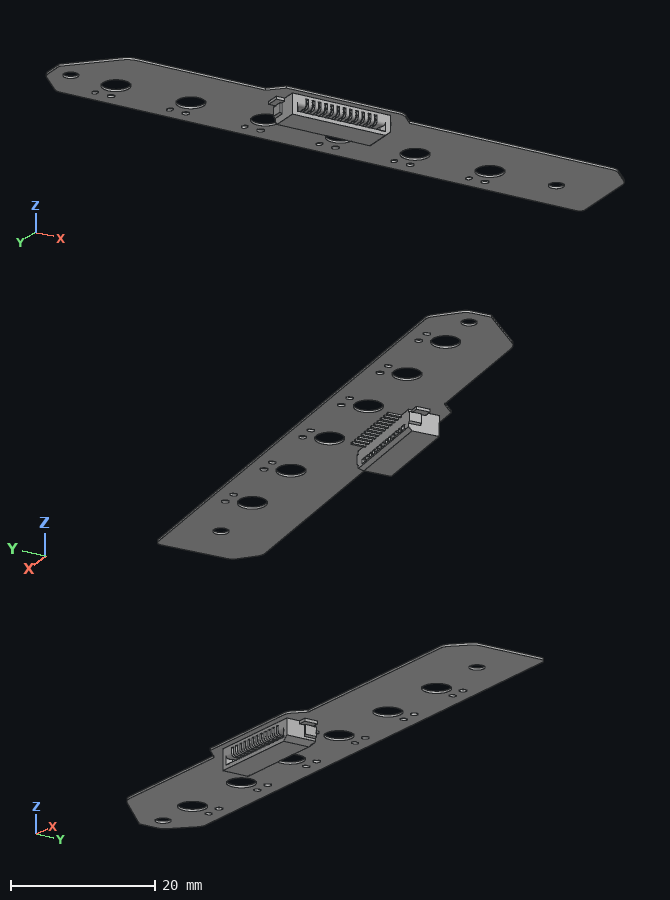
import cadquery as cq


BOARD_LENGTH = 88.6
BOARD_WIDTH = 17.2
BOARD_THICKNESS = 0.35
OVERALL_HEIGHT = 3.5
TAB_DEPTH = 2.1
TAB_LEFT = 29.0
TAB_RIGHT = 52.1
UPPER_LEFT_CUT = 4.1
LOWER_LEFT_CUT = 7.2
LOWER_RIGHT_CUT = 3.2
TOP_RIGHT_RADIUS = 0.9
CORNER_RADIUS = 1.8
LOWER_LEFT_RADIUS = 2.7

HOLE_COUNT = 6
FIRST_HOLE_X = 10.3
LAST_HOLE_X = 70.35
HOLE_PITCH = (LAST_HOLE_X - FIRST_HOLE_X) / (HOLE_COUNT - 1)
HOLE_ROW_Y = BOARD_WIDTH - 5.9
WINDOW_HOLE_DIAMETER = 4.2
LEAD_ROW_Y = BOARD_WIDTH - 2.4
LEAD_SPACING = 2.6
LEAD_HOLE_DIAMETER = 1.1
LEAD_SLOT_WIDTH = 0.8
LEAD_SLOT_LENGTH = LEAD_HOLE_DIAMETER
MOUNTING_HOLE_DIAMETER = 2.2
LEFT_MOUNTING_HOLE = (3.0, HOLE_ROW_Y)
RIGHT_MOUNTING_HOLE = (80.8, BOARD_WIDTH - 6.3)

CONNECTOR_X = (TAB_LEFT + TAB_RIGHT) / 2
HOUSING_WIDTH = 15.8
HOUSING_HEIGHT = OVERALL_HEIGHT - BOARD_THICKNESS
HOUSING_FRONT_Y = 1.1
HOUSING_DEPTH = 4.8
HOUSING_BACK_Y = HOUSING_FRONT_Y + HOUSING_DEPTH
KEY_CUT_WIDTH = 0.8
KEY_CUT_HEIGHT = 0.7
BACK_CHAMFER = 0.5

PASSAGE_WIDTH = 13.1
PASSAGE_TOP_Z = -1.8
PASSAGE_BOTTOM_Z = -2.4
MOUTH_WIDTH = 14.2
MOUTH_BOTTOM_Z = -2.6
MOUTH_DEPTH = 0.7
MOUTH_TOP_RADIUS = 0.5

EAR_PROJECTION = 0.3
EAR_DEPTH = 1.9
EAR_BOTTOM_Z = -1.9
EAR_BEVEL = 0.3
SOLDER_TAB_SPAN = 18.4
SOLDER_TAB_FRONT_Y = 3.2
SOLDER_TAB_LENGTH = 2.1
SOLDER_TAB_THICKNESS = 0.4

CONTACT_COUNT = 12
CONTACT_ROW_LENGTH = 11.0
CONTACT_PITCH = CONTACT_ROW_LENGTH / (CONTACT_COUNT - 1)
CONTACT_WIDTH = 0.4
CONTACT_SLOT_TOP_Z = -0.4
CONTACT_NOSE_Z = -1.1
CONTACT_NOSE_INSET = 0.3
CONTACT_TOP_INSET = 0.6
CONTACT_FOOT_INSET = 2.1
TAIL_LENGTH = 2.1
TAIL_THICKNESS = 0.3


def board_outline():
    """Board blank with cut corners and a shallow tab along its front edge."""
    return (
        cq.Workplane("XY")
        .moveTo(0, TAB_DEPTH + LOWER_LEFT_CUT)
        .lineTo(LOWER_LEFT_CUT, TAB_DEPTH)
        .lineTo(TAB_LEFT, TAB_DEPTH)
        .lineTo(TAB_LEFT + TAB_DEPTH, 0)
        .lineTo(TAB_RIGHT - TAB_DEPTH, 0)
        .lineTo(TAB_RIGHT, TAB_DEPTH)
        .lineTo(BOARD_LENGTH - LOWER_RIGHT_CUT, TAB_DEPTH)
        .lineTo(BOARD_LENGTH, TAB_DEPTH + LOWER_RIGHT_CUT)
        .lineTo(BOARD_LENGTH, BOARD_WIDTH)
        .lineTo(UPPER_LEFT_CUT, BOARD_WIDTH)
        .lineTo(0, BOARD_WIDTH - UPPER_LEFT_CUT)
        .close()
        .extrude(BOARD_THICKNESS)
    )


def round_corner(board, x, y, radius):
    """Round the upright board edge that stands at (x, y)."""
    corner = cq.selectors.NearestToPointSelector((x, y, BOARD_THICKNESS / 2))
    return board.edges("|Z").edges(corner).fillet(radius)


def make_board():
    board = board_outline()
    rounded_corners = [
        (TAB_RIGHT - TAB_DEPTH, 0),
        (BOARD_LENGTH - LOWER_RIGHT_CUT, TAB_DEPTH),
        (BOARD_LENGTH, TAB_DEPTH + LOWER_RIGHT_CUT),
        (UPPER_LEFT_CUT, BOARD_WIDTH),
        (0, BOARD_WIDTH - UPPER_LEFT_CUT),
    ]
    for x, y in rounded_corners:
        board = round_corner(board, x, y, CORNER_RADIUS)
    board = round_corner(board, LOWER_LEFT_CUT, TAB_DEPTH, LOWER_LEFT_RADIUS)
    board = round_corner(board, BOARD_LENGTH, BOARD_WIDTH, TOP_RIGHT_RADIUS)

    hole_xs = [FIRST_HOLE_X + i * HOLE_PITCH for i in range(HOLE_COUNT)]
    top = cq.Workplane("XY")
    window_holes = (
        top.pushPoints([(x, HOLE_ROW_Y) for x in hole_xs])
        .circle(WINDOW_HOLE_DIAMETER / 2)
        .extrude(BOARD_THICKNESS)
    )
    lead_holes = (
        top.pushPoints([(x + LEAD_SPACING / 2, LEAD_ROW_Y) for x in hole_xs])
        .circle(LEAD_HOLE_DIAMETER / 2)
        .extrude(BOARD_THICKNESS)
    )
    lead_slots = (
        top.pushPoints([(x - LEAD_SPACING / 2, LEAD_ROW_Y) for x in hole_xs])
        .slot2D(LEAD_SLOT_LENGTH, LEAD_SLOT_WIDTH, 90)
        .extrude(BOARD_THICKNESS)
    )
    mounting_holes = (
        top.pushPoints([LEFT_MOUNTING_HOLE, RIGHT_MOUNTING_HOLE])
        .circle(MOUNTING_HOLE_DIAMETER / 2)
        .extrude(BOARD_THICKNESS)
    )
    return board.cut(window_holes).cut(lead_holes).cut(lead_slots).cut(mounting_holes)


def block(width, front_y, back_y, bottom_z, top_z, center_x=CONNECTOR_X):
    """Box centred on center_x between the given Y and Z limits."""
    return (
        cq.Workplane("XY")
        .box(width, back_y - front_y, top_z - bottom_z, centered=(True, False, False))
        .translate((center_x, front_y, bottom_z))
    )


def housing_shell():
    """Housing block with a sloped key corner and a chamfer along its lower back edge."""
    half_width = HOUSING_WIDTH / 2
    shell = (
        cq.Workplane("XZ", origin=(CONNECTOR_X, HOUSING_BACK_Y, 0))
        .moveTo(-half_width, 0)
        .lineTo(-half_width, -HOUSING_HEIGHT)
        .lineTo(half_width - KEY_CUT_WIDTH, -HOUSING_HEIGHT)
        .lineTo(half_width, KEY_CUT_HEIGHT - HOUSING_HEIGHT)
        .lineTo(half_width, 0)
        .close()
        .extrude(HOUSING_DEPTH)
    )
    back_corner = (
        cq.Workplane("YZ", origin=(CONNECTOR_X - half_width, HOUSING_BACK_Y, -HOUSING_HEIGHT))
        .lineTo(-BACK_CHAMFER, 0)
        .lineTo(0, BACK_CHAMFER)
        .close()
        .extrude(HOUSING_WIDTH)
    )
    return shell.cut(back_corner)


def cut_cable_opening(housing):
    """Cut the flared mouth and the passage behind it, then round the mouth's top edge."""
    mouth_center_z = (PASSAGE_TOP_Z + MOUTH_BOTTOM_Z) / 2
    passage_center_z = (PASSAGE_TOP_Z + PASSAGE_BOTTOM_Z) / 2
    mouth = (
        cq.Workplane("XZ", origin=(CONNECTOR_X, HOUSING_FRONT_Y, 0))
        .center(0, mouth_center_z)
        .rect(MOUTH_WIDTH, PASSAGE_TOP_Z - MOUTH_BOTTOM_Z)
        .workplane(offset=-MOUTH_DEPTH)
        .center(0, passage_center_z - mouth_center_z)
        .rect(PASSAGE_WIDTH, PASSAGE_TOP_Z - PASSAGE_BOTTOM_Z)
        .loft(ruled=True)
    )
    passage = block(PASSAGE_WIDTH, HOUSING_FRONT_Y, HOUSING_BACK_Y, PASSAGE_BOTTOM_Z, PASSAGE_TOP_Z)
    top_edge = cq.selectors.NearestToPointSelector((CONNECTOR_X, HOUSING_FRONT_Y, PASSAGE_TOP_Z))
    return housing.cut(mouth).cut(passage).edges(top_edge).fillet(MOUTH_TOP_RADIUS)


def side_ears():
    """Ears standing out from both sides at the back, bevelled underneath."""
    half_width = HOUSING_WIDTH / 2
    outer = half_width + EAR_PROJECTION
    return (
        cq.Workplane("XZ", origin=(CONNECTOR_X, HOUSING_BACK_Y, 0))
        .moveTo(-outer, -SOLDER_TAB_THICKNESS)
        .lineTo(-outer, EAR_BOTTOM_Z)
        .lineTo(-half_width, EAR_BOTTOM_Z - EAR_BEVEL)
        .lineTo(half_width, EAR_BOTTOM_Z - EAR_BEVEL)
        .lineTo(outer, EAR_BOTTOM_Z)
        .lineTo(outer, -SOLDER_TAB_THICKNESS)
        .close()
        .extrude(EAR_DEPTH)
    )


def contact_slot(x):
    """Slot in the housing front that opens down into the mouth above one contact."""
    return block(
        CONTACT_WIDTH,
        HOUSING_FRONT_Y,
        HOUSING_FRONT_Y + CONTACT_FOOT_INSET,
        PASSAGE_BOTTOM_Z,
        CONTACT_SLOT_TOP_Z,
        x,
    )


def contact(x):
    """Contact blade with a pointed nose at the front and a solder tail at the back."""
    blade = (
        cq.Workplane("YZ", origin=(x - CONTACT_WIDTH / 2, HOUSING_FRONT_Y, 0))
        .moveTo(CONTACT_TOP_INSET, CONTACT_SLOT_TOP_Z)
        .lineTo(CONTACT_NOSE_INSET, CONTACT_NOSE_Z)
        .lineTo(CONTACT_FOOT_INSET, PASSAGE_BOTTOM_Z)
        .lineTo(HOUSING_DEPTH, PASSAGE_BOTTOM_Z)
        .lineTo(HOUSING_DEPTH, CONTACT_SLOT_TOP_Z)
        .close()
        .extrude(CONTACT_WIDTH)
    )
    tail = block(
        CONTACT_WIDTH,
        HOUSING_BACK_Y - CONTACT_WIDTH,
        HOUSING_BACK_Y + TAIL_LENGTH,
        -TAIL_THICKNESS,
        0,
        x,
    )
    return blade.union(tail)


def make_connector():
    solder_tabs = block(
        SOLDER_TAB_SPAN,
        SOLDER_TAB_FRONT_Y,
        SOLDER_TAB_FRONT_Y + SOLDER_TAB_LENGTH,
        -SOLDER_TAB_THICKNESS,
        0,
    )
    connector = cut_cable_opening(housing_shell().union(side_ears()).union(solder_tabs))

    first_contact_x = CONNECTOR_X - CONTACT_ROW_LENGTH / 2
    for i in range(CONTACT_COUNT):
        x = first_contact_x + i * CONTACT_PITCH
        connector = connector.cut(contact_slot(x)).union(contact(x))
    return connector


board = make_board()
connector = make_connector()

result = cq.Compound.makeCompound([board.val(), connector.val()])